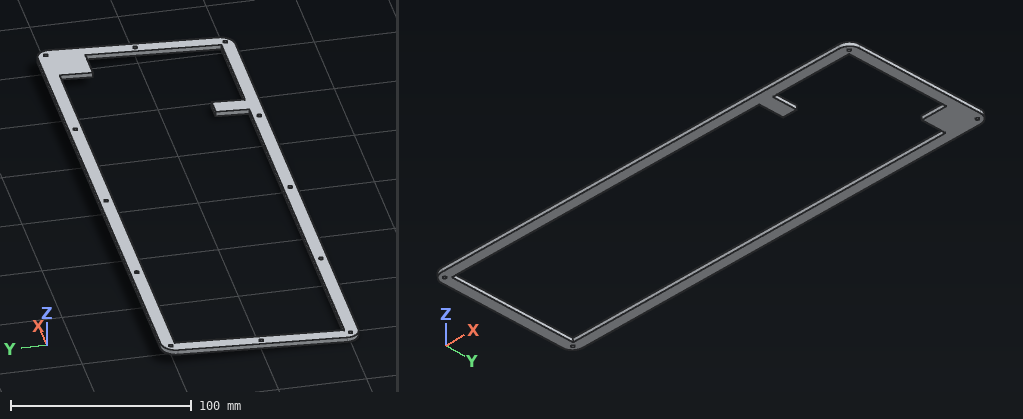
import cadquery as cq

length = 322.0
width = 112.3
thickness = 3.0
tilt_angle = 3.0
corner_radius = 8.0
rail_width = 8.0

block_size = 27.0

tab_left = 244.5
tab_width = 10.5
tab_reach = 27.0

hole_diameter = 2.2
corner_hole_inset = 5.0
rail_hole_inset = 4.0
rail_hole_spacing = 76.5
rail_hole_depth = thickness / 2

half_length = length / 2
half_width = width / 2


def box_from_corners(x_min, y_min, x_max, y_max):
    """Full-thickness box between two opposite plan corners."""
    return (
        cq.Workplane("XY")
        .box(x_max - x_min, y_max - y_min, thickness, centered=False)
        .translate((x_min, y_min, 0))
    )


def make_frame():
    """Rounded rectangular plate with a sharp-cornered window."""
    plate = cq.Workplane("XY").box(length, width, thickness, centered=(True, True, False))
    plate = plate.edges("|Z").fillet(corner_radius)
    window = box_from_corners(
        rail_width - half_length,
        rail_width - half_width,
        half_length - rail_width,
        half_width - rail_width,
    )
    corner_block = box_from_corners(
        half_length - block_size,
        half_width - block_size,
        half_length,
        half_width,
    )
    return plate.cut(window.cut(corner_block))


def make_tab():
    tab_x = tab_left - half_length
    return box_from_corners(
        tab_x,
        rail_width / 2 - half_width,
        tab_x + tab_width,
        tab_reach - half_width,
    )


def make_holes(points, depth):
    """Vertical cylinders sunk from the top face at the given points."""
    return (
        cq.Workplane("XY")
        .workplane(offset=thickness)
        .pushPoints(points)
        .circle(hole_diameter / 2)
        .extrude(-depth)
    )


corner_points = []
rail_points = []
for side in (-1, 1):
    for end in (-1, 1):
        corner_points.append(
            (end * (half_length - corner_hole_inset), side * (half_width - corner_hole_inset))
        )
    for step in (-1, 0, 1):
        rail_points.append((step * rail_hole_spacing, side * (half_width - rail_hole_inset)))
    rail_points.append((side * (half_length - rail_hole_inset), 0))

flat_part = (
    make_frame()
    .union(make_tab())
    .cut(make_holes(corner_points, thickness))
    .cut(make_holes(rail_points, rail_hole_depth))
)

result = flat_part.rotate((0, 0, 0), (1, 0, 0), tilt_angle)